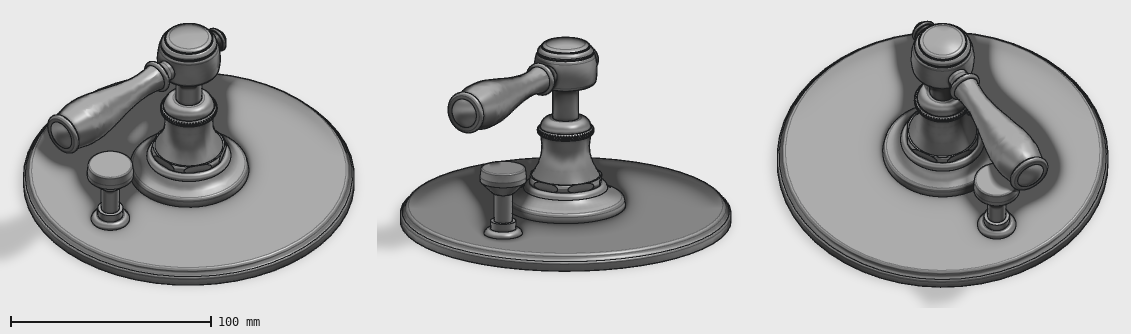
import cadquery as cq
import math

slight_bow = 0.2
soft_bow = 0.4

plate_diameter = 165.2
plate_radius = plate_diameter / 2
plate_height = 8.0
rim_edge_height = 3.7
rim_bead_radius, rim_bead_height = 81.6, 4.7
rim_cove_radius, rim_cove_height = 80.0, 6.8
rim_face_radius = 78.5
rim_bow = 0.26

foot_radius = 30.0
foot_top_radius, foot_top_height = 29.5, 11.0
step_radius, step_height = 28.0, 12.6
cove_radius, cove_height = 21.0, 17.3
cove_bow = 0.7
shoulder_bow = 0.7
shoulder_radius, shoulder_height = 18.2, 20.1

hex_ring_radius = 19.0
hex_ring_edge_radius = 17.9
hex_across_flats = 35.0
hex_ring_top = 24.2
bell_foot_radius = 17.0
bell_foot_slope = (-0.6, 0.8)
bell_neck_radius = 11.9
bell_neck_height = 39.4
bell_top_radius = 12.6
bell_top_slope = (0.15, 1)
bell_cap_base = 49.2
bell_cap_flat_radius = 7.9
bell_cap_top = 54.1
bell_cap_bow = 1.4

flute_count = 60
flute_depth = 0.5
fluted_ring_radius = 14.2
fluted_ring_edge_radius = 13.0
fluted_ring_base = 45.7

stem_radius = 6.5
stem_flare_radius = 7.5
stem_flare_height = 69.7
hub_base = 72.2
hub_base_radius = 13.7
hub_edge_radius, hub_edge_height = 15.2, 74.0
hub_radius = 15.8
hub_shoulder_radius, hub_shoulder_height = 14.9, 86.4
hub_groove_radius, hub_groove_height = 13.5, 87.8
collar_radius, collar_base, collar_edge = 14.0, 88.1, 89.0
collar_top = 91.0
cap_groove_radius = 11.5
cap_radius, cap_base = 12.0, 91.6
cap_dome_radius, cap_dome_base = 9.8, 92.8
hub_top = 94.5

lever_height = 80.0
overall_length = 175.2
lever_tip = overall_length - plate_radius
finial_tip = 23.8
inner_bead_bulge = 1.5
outer_bead_bulge = 1.4
flange_bulge = 0.9

knob_y = -55.2
knob_foot_radius = 9.6
knob_foot_top_radius, knob_foot_top = 7.0, 10.7
knob_foot_bow = 0.5
knob_collar_radius, knob_collar_top = 6.3, 14.7
knob_stem_radius, knob_stem_top = 4.5, 29.5
knob_cone_radius = 5.5
knob_head_radius, knob_head_base, knob_band_top = 11.5, 35.5, 38.0
knob_top_radius, knob_top = 11.0, 42.4
knob_edge_fillet = 0.7


def turned(profile):
    """Revolve a (radius, height) profile about the vertical axis."""
    return profile.close().revolve(360, (0, 0, 0), (0, 1, 0))


def turned_on_lever(profile):
    """Revolve a (y, radius) profile about the lever axis."""
    return profile.close().revolve(360, (0, 0, 0), (1, 0, 0))


def sagged(start, end, sag):
    """Point that bows the chord from start to end to its left by sag (right if negative)."""
    dx = end[0] - start[0]
    dy = end[1] - start[1]
    length = math.hypot(dx, dy)
    return ((start[0] + end[0]) / 2 - sag * dy / length, (start[1] + end[1]) / 2 + sag * dx / length)


def arc(profile, start, end, sag):
    """Add a bowed arc from start, the current point of the profile, to end."""
    return profile.threePointArc(sagged(start, end, sag), end)


def dome_sag(radius, height):
    """Bow of the profile arc, rim to apex, of a spherical dome."""
    half_angle = math.atan(height / radius)
    return math.hypot(radius, height) / 2 * math.tan(half_angle / 2)


def faceplate():
    edge = (plate_radius, rim_edge_height)
    bead = (rim_bead_radius, rim_bead_height)
    cove = (rim_cove_radius, rim_cove_height)
    face = (rim_face_radius, plate_height)
    profile = cq.Workplane("XZ").lineTo(plate_radius, 0).lineTo(*edge)
    profile = arc(profile, edge, bead, -rim_bow)
    profile = arc(profile, bead, cove, rim_bow)
    profile = arc(profile, cove, face, -rim_bow)
    return turned(profile.lineTo(0, plate_height))


def escutcheon():
    foot_top = (foot_top_radius, foot_top_height)
    step = (step_radius, step_height)
    cove = (cove_radius, cove_height)
    shoulder = (shoulder_radius, shoulder_height)
    profile = cq.Workplane("XZ").lineTo(foot_radius, 0).lineTo(foot_radius, plate_height).lineTo(*foot_top)
    profile = arc(profile, foot_top, step, -soft_bow)
    profile = arc(profile, step, cove, cove_bow)
    profile = arc(profile, cove, shoulder, -shoulder_bow)
    return turned(profile.lineTo(0, shoulder_height))


def hexagon_ring():
    low = (hex_ring_edge_radius, shoulder_height)
    high = (hex_ring_edge_radius, hex_ring_top)
    profile = cq.Workplane("XZ").lineTo(hex_ring_edge_radius, 0).lineTo(*low)
    profile = arc(profile, low, high, hex_ring_edge_radius - hex_ring_radius)
    ring = turned(profile.lineTo(0, hex_ring_top))
    hexagon = cq.Workplane("XY").polygon(6, hex_across_flats, circumscribed=True).extrude(hex_ring_top)
    return ring.intersect(hexagon.rotate((0, 0, 0), (0, 0, 1), 90))


def bell():
    cap_base_point = (bell_top_radius, bell_cap_base)
    cap_flat = (bell_cap_flat_radius, bell_cap_top)
    profile = (
        cq.Workplane("XZ")
        .lineTo(bell_foot_radius, 0)
        .lineTo(bell_foot_radius, hex_ring_top)
        .spline(
            [(bell_neck_radius, bell_neck_height), (bell_top_radius, fluted_ring_base)],
            tangents=[bell_foot_slope, bell_top_slope],
            includeCurrent=True,
        )
        .lineTo(*cap_base_point)
    )
    profile = arc(profile, cap_base_point, cap_flat, -bell_cap_bow)
    return turned(profile.lineTo(0, bell_cap_top))


def fluted_ring():
    low = (fluted_ring_edge_radius, fluted_ring_base)
    high = (fluted_ring_edge_radius, bell_cap_base)
    profile = cq.Workplane("XZ").moveTo(0, fluted_ring_base).lineTo(*low)
    profile = arc(profile, low, high, fluted_ring_edge_radius - fluted_ring_radius)
    ring = turned(profile.lineTo(0, bell_cap_base))
    flutes = (
        cq.Workplane("XY", origin=(0, 0, fluted_ring_base))
        .polarArray(fluted_ring_radius, 0, 360, flute_count)
        .polygon(4, 2 * flute_depth)
        .extrude(bell_cap_base - fluted_ring_base)
    )
    return ring.cut(flutes)


def stem_and_hub():
    flare_low = (stem_radius, stem_flare_height)
    flare_high = (stem_flare_radius, hub_base)
    base = (hub_base_radius, hub_base)
    edge = (hub_edge_radius, hub_edge_height)
    shoulder = (hub_shoulder_radius, hub_shoulder_height)
    shoulder_top = (collar_radius, hub_groove_height)
    collar = (collar_radius, collar_edge)
    collar_high = (cap_radius, collar_top)
    cap_low = (cap_radius, cap_base)
    dome_edge = (cap_dome_radius, cap_dome_base)
    dome_top = (0, hub_top)
    profile = cq.Workplane("XZ").lineTo(stem_radius, 0).lineTo(*flare_low)
    profile = arc(profile, flare_low, flare_high, -slight_bow).lineTo(*base)
    profile = arc(profile, base, edge, -soft_bow)
    profile = profile.threePointArc((hub_radius, lever_height), shoulder)
    profile = arc(profile, shoulder, shoulder_top, -slight_bow)
    profile = profile.lineTo(hub_groove_radius, hub_groove_height).lineTo(hub_groove_radius, collar_base)
    profile = profile.lineTo(collar_radius, collar_base).lineTo(*collar)
    profile = arc(profile, collar, collar_high, -soft_bow)
    profile = profile.lineTo(cap_groove_radius, collar_top).lineTo(cap_groove_radius, cap_base)
    profile = profile.lineTo(*cap_low)
    profile = arc(profile, cap_low, dome_edge, -soft_bow)
    profile = arc(profile, dome_edge, dome_top, -dome_sag(cap_dome_radius, hub_top - cap_dome_base))
    return turned(profile)


def lever():
    neck_end = (-17.2, 5.0)
    inner_bead = (-21.0, 6.7)
    inner_bead_end = (-23.8, 6.7)
    grip_waist = (-37.1, 6.0)
    grip_swell = (-54.3, 8.8)
    grip_belly = (-71.0, 11.5)
    outer_bead = (-86.7, 9.1)
    outer_bead_end = (-89.7, 9.1)
    tip_base = (-89.7, 7.4)
    profile = cq.Workplane("YZ", origin=(0, 0, lever_height)).lineTo(0, neck_end[1]).lineTo(*neck_end)
    profile = arc(profile, neck_end, inner_bead, soft_bow)
    profile = arc(profile, inner_bead, inner_bead_end, -inner_bead_bulge)
    profile = profile.spline([grip_waist, grip_swell, grip_belly, outer_bead], includeCurrent=True)
    profile = arc(profile, outer_bead, outer_bead_end, -outer_bead_bulge).lineTo(*tip_base)
    tip = (-lever_tip, 0)
    profile = arc(profile, tip_base, tip, -dome_sag(tip_base[1], tip_base[0] - tip[0]))
    return turned_on_lever(profile)


def finial():
    neck = (15.0, 4.5)
    neck_end = (18.5, 5.0)
    flange = (18.5, 5.6)
    flange_end = (20.7, 5.0)
    tip = (finial_tip, 0)
    profile = cq.Workplane("YZ", origin=(0, 0, lever_height)).lineTo(0, neck[1]).lineTo(*neck)
    profile = arc(profile, neck, neck_end, -slight_bow)
    profile = arc(profile.lineTo(*flange), flange, flange_end, flange_bulge)
    profile = arc(profile, flange_end, tip, dome_sag(flange_end[1], tip[0] - flange_end[0]))
    return turned_on_lever(profile)


def diverter_knob():
    foot = (knob_foot_radius, plate_height)
    foot_top = (knob_foot_top_radius, knob_foot_top)
    profile = cq.Workplane("XZ", origin=(0, knob_y, 0)).lineTo(knob_foot_radius, 0).lineTo(*foot)
    profile = (
        arc(profile, foot, foot_top, -knob_foot_bow)
        .lineTo(knob_collar_radius, knob_foot_top)
        .lineTo(knob_collar_radius, knob_collar_top)
        .lineTo(knob_stem_radius, knob_collar_top)
        .lineTo(knob_stem_radius, knob_stem_top)
        .lineTo(knob_cone_radius, knob_stem_top)
        .lineTo(knob_head_radius, knob_head_base)
        .lineTo(knob_head_radius, knob_band_top)
        .lineTo(knob_top_radius, knob_top)
        .lineTo(0, knob_top)
    )
    return turned(profile).faces(">Z").edges().fillet(knob_edge_fillet)


result = faceplate()
for feature in (escutcheon, hexagon_ring, bell, fluted_ring, stem_and_hub, lever, finial, diverter_knob):
    result = result.union(feature())